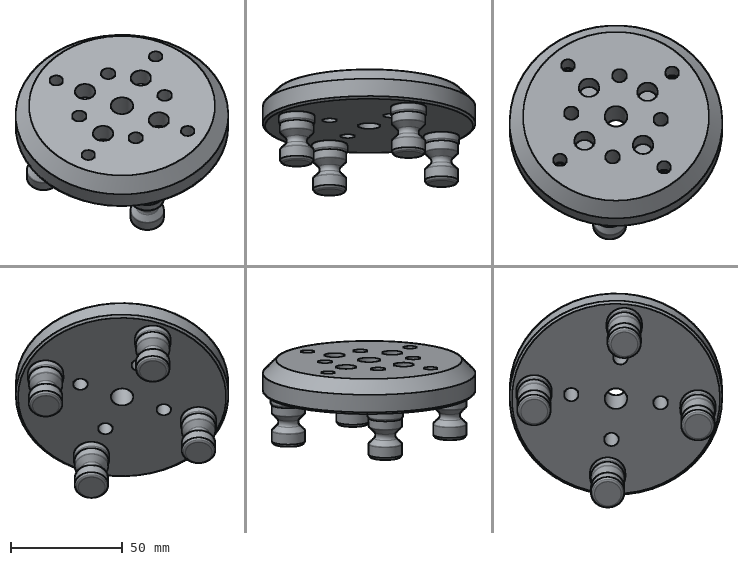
import cadquery as cq
import math

plate_diameter = 95.0
plate_thickness = 15.0
top_chamfer = 6.0
bottom_chamfer = 1.0

center_hole_diameter = 10.0
through_hole_diameter = 6.5
through_hole_circle_radius = 20.0
blind_hole_diameter = 9.0
blind_hole_depth = 9.0
blind_hole_circle_radius = 18.5
thread_diameter = 6.0
thread_depth = 9.0
tap_drill_diameter = 5.0
tap_drill_depth = 11.0
tap_drill_tip_angle = 118.0
threaded_hole_circle_radius = 33.0

pin_circle_radius = 36.8
pin_offset = pin_circle_radius / math.sqrt(2)
pin_length = 21.9
collar_diameter = 16.0
collar_length = 3.0
collar_top_rounding = 0.3
shank_diameter = 15.0
shank_start = 4.0
groove_top = 7.7
groove_bottom = 15.6
neck_diameter = 9.0
neck_edge_diameter = 10.0
neck_arc_top = 10.3
neck_arc_bottom = 13.1
tip_chamfer_width = 0.95
tip_chamfer_length = 1.4
tip_rounding = 1.1
edge_rounding = 0.4

holes_per_circle = 4
quarter_turn = 360.0 / holes_per_circle


def holes_on_circle(hole, circle_radius, first_angle):
    """Copies of a hole drilled at the origin, spread evenly around the plate axis."""
    holes = cq.Workplane("XY")
    for index in range(holes_per_circle):
        angle = first_angle + index * quarter_turn
        holes.add(hole.translate((circle_radius, 0, 0)).rotate((0, 0, 0), (0, 0, 1), angle).val())
    return holes


def make_drilling(diameter, depth):
    """Flat-ended cylinder reaching down from the top of the plate."""
    return cq.Workplane("XY").workplane(offset=plate_thickness).circle(diameter / 2).extrude(-depth)


def make_threaded_hole():
    """Thread-diameter bore, narrowing to a tap drilling with a conical end."""
    thread_radius = thread_diameter / 2
    drill_radius = tap_drill_diameter / 2
    thread_end = plate_thickness - thread_depth
    drill_end = plate_thickness - tap_drill_depth
    tip_length = drill_radius / math.tan(math.radians(tap_drill_tip_angle / 2))
    return (
        cq.Workplane("XZ")
        .moveTo(0, plate_thickness)
        .lineTo(thread_radius, plate_thickness)
        .lineTo(thread_radius, thread_end)
        .lineTo(drill_radius, thread_end)
        .lineTo(drill_radius, drill_end)
        .lineTo(0, drill_end - tip_length)
        .close()
        .revolve(360, (0, 0, 0), (0, 1, 0))
    )


def make_plate():
    plate = cq.Workplane("XY").circle(plate_diameter / 2).extrude(plate_thickness)
    plate = plate.faces(">Z").edges().chamfer(top_chamfer)
    plate = plate.faces("<Z").edges().chamfer(bottom_chamfer)

    plate = plate.cut(make_drilling(center_hole_diameter, plate_thickness))

    through_hole = make_drilling(through_hole_diameter, plate_thickness)
    blind_hole = make_drilling(blind_hole_diameter, blind_hole_depth)
    hole_circles = [
        (through_hole, through_hole_circle_radius, quarter_turn / 2),
        (blind_hole, blind_hole_circle_radius, 0),
        (make_threaded_hole(), threaded_hole_circle_radius, 0),
    ]
    for hole, circle_radius, first_angle in hole_circles:
        for drilled in holes_on_circle(hole, circle_radius, first_angle).vals():
            plate = plate.cut(cq.Workplane(drilled))
    return plate


def edge_at_depth(pin, depth):
    """The circular edge of a pin that lies at a given depth below the plate."""
    reach = pin_length
    margin = edge_rounding / 2
    return pin.edges(
        cq.selectors.BoxSelector((-reach, -reach, -depth - margin), (reach, reach, -depth + margin))
    )


def make_pin():
    """Pin on the Z axis, its collar touching the plate's underside."""
    collar_radius = collar_diameter / 2
    shank_radius = shank_diameter / 2
    neck_edge_radius = neck_edge_diameter / 2
    neck_middle = (neck_arc_top + neck_arc_bottom) / 2
    pin = (
        cq.Workplane("XZ")
        .lineTo(collar_radius, 0)
        .lineTo(collar_radius, -collar_length)
        .lineTo(shank_radius, -shank_start)
        .lineTo(shank_radius, -groove_top)
        .lineTo(neck_edge_radius, -neck_arc_top)
        .threePointArc((neck_diameter / 2, -neck_middle), (neck_edge_radius, -neck_arc_bottom))
        .lineTo(shank_radius, -groove_bottom)
        .lineTo(shank_radius, tip_chamfer_length - pin_length)
        .lineTo(shank_radius - tip_chamfer_width, -pin_length)
        .lineTo(0, -pin_length)
        .close()
        .revolve(360, (0, 0, 0), (0, 1, 0))
    )
    pin = edge_at_depth(pin, 0).fillet(collar_top_rounding)
    for depth in (collar_length, groove_top, groove_bottom):
        pin = edge_at_depth(pin, depth).fillet(edge_rounding)
    return edge_at_depth(pin, pin_length).fillet(tip_rounding)


plate = make_plate()

pins = cq.Workplane("XY")
for x_side in (-1, 1):
    for y_side in (-1, 1):
        pins.add(make_pin().translate((x_side * pin_offset, y_side * pin_offset, 0)).val())

result = cq.Compound.makeCompound([plate.val(), *pins.vals()])